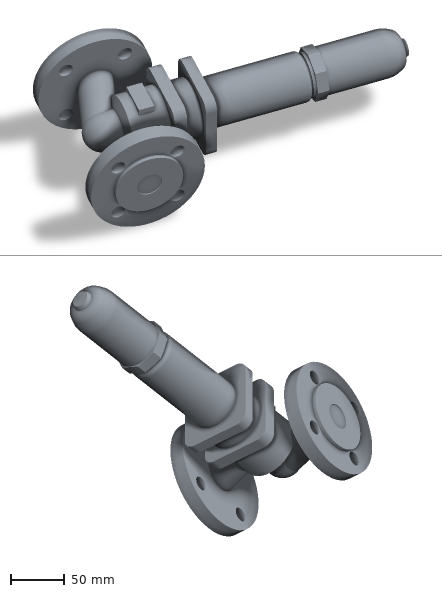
import cadquery as cq
import math


overall_length = 348.0

face_to_face = 160.0
flange_dia = 115.0
flange_thickness = 15.0
raised_face_dia = 68.2
raised_face_height = 4.2
bore_dia = 25.5
bore_depth = 1.0
bolt_circle_dia = 85.0
bolt_hole_dia = 14.3
bolt_count = 4
first_bolt_angle = 45

pipe_dia = 34.8
left_pipe_slope = 16.8
right_pipe_slope = 18.5

elbow_radius = 19.0
elbow_y = -17.0
cone_bottom_y = -2.0
cone_top_y = 3.0
body_radius = 31.0

plate_width = 72.7
plate_corner_radius = 10.8
lower_plate_y = 42.0
lower_plate_thickness = 13.0
upper_plate_y = 74.0
upper_plate_thickness = 11.0
collar_radius = 30.3
collar_chamfer = 2.0

tube_radius = 25.0
tube_top_radius = 21.5
tube_top_y = 187.0
tube_top_rounding_height = 5.0
groove_radius = 20.2
groove_top_y = 188.5
neck_radius = 22.5

nut_sides = 8
nut_corner_dia = 53.5
nut_y = 191.5
nut_thickness = 11.5

cap_top_y = overall_length - flange_dia / 2
cap_radius = 24.0
shoulder_bottom_y = 266.5
shoulder_top_radius = 21.0
shoulder_top_y = 278.3
dome_rounding = 10.5
dome_flat_radius = 12.2
dome_top_y = 286.0
button_base_radius = 10.5
button_top_radius = 8.5

name_plate_length = 32.7
name_plate_width = 15.5
name_plate_y = 22.0
name_plate_top_z = 34.0


def across_bonnet(y):
    """Workplane across the bonnet axis at height y; negative extrusions go towards +Y."""
    return cq.Workplane("XZ", origin=(0, y, 0))


def body_and_bonnet():
    """Everything turned about the Y axis, from the elbow to the button on the cap."""
    return (
        cq.Workplane("XY")
        .moveTo(0, elbow_y - elbow_radius)
        .radiusArc((elbow_radius, elbow_y), -elbow_radius)
        .lineTo(elbow_radius, cone_bottom_y)
        .lineTo(body_radius, cone_top_y)
        .lineTo(body_radius, lower_plate_y)
        .lineTo(collar_radius, lower_plate_y)
        .lineTo(collar_radius, upper_plate_y - collar_chamfer)
        .lineTo(collar_radius - collar_chamfer, upper_plate_y)
        .lineTo(tube_radius, upper_plate_y)
        .lineTo(tube_radius, tube_top_y - tube_top_rounding_height)
        .tangentArcPoint((tube_top_radius, tube_top_y), relative=False)
        .lineTo(groove_radius, tube_top_y)
        .lineTo(groove_radius, groove_top_y)
        .lineTo(neck_radius, groove_top_y)
        .lineTo(neck_radius, nut_y)
        .lineTo(cap_radius, nut_y)
        .lineTo(cap_radius, shoulder_bottom_y)
        .tangentArcPoint((shoulder_top_radius, shoulder_top_y), relative=False)
        .radiusArc((dome_flat_radius, dome_top_y), -dome_rounding)
        .lineTo(button_base_radius, dome_top_y)
        .lineTo(button_top_radius, cap_top_y)
        .lineTo(0, cap_top_y)
        .close()
        .revolve(360, (0, 0, 0), (0, 1, 0))
    )


def clamping_plate(y, thickness):
    return (
        across_bonnet(y)
        .rect(plate_width, plate_width)
        .extrude(-thickness)
        .edges("|Y")
        .fillet(plate_corner_radius)
    )


def octagonal_nut():
    return across_bonnet(nut_y).polygon(nut_sides, nut_corner_dia).extrude(-nut_thickness)


def name_plate():
    return (
        cq.Workplane("XY", origin=(0, name_plate_y, 0))
        .rect(name_plate_length, name_plate_width)
        .extrude(name_plate_top_z)
    )


def flange(side):
    """Bolted flange with raised face; side is -1 for the -X end and +1 for the +X end."""
    face_x = side * face_to_face / 2
    disc_x = face_x - side * raised_face_height
    bolt_holes = (
        cq.Workplane("YZ", origin=(disc_x, 0, 0))
        .polarArray(bolt_circle_dia / 2, first_bolt_angle, 360, bolt_count)
        .circle(bolt_hole_dia / 2)
        .extrude(-side * flange_thickness)
    )
    disc = (
        cq.Workplane("YZ", origin=(disc_x, 0, 0))
        .circle(flange_dia / 2)
        .extrude(-side * flange_thickness)
        .cut(bolt_holes)
    )
    raised_face = (
        cq.Workplane("YZ", origin=(face_x, 0, 0))
        .circle(raised_face_dia / 2)
        .extrude(-side * raised_face_height)
    )
    bore = (
        cq.Workplane("YZ", origin=(face_x, 0, 0))
        .circle(bore_dia / 2)
        .extrude(-side * bore_depth)
    )
    return disc.union(raised_face).cut(bore)


def slanted_pipe(side, slope):
    """Pipe starting on the flow axis at the flange's inner face and ending on the bonnet axis."""
    start_x = side * (face_to_face / 2 - raised_face_height - flange_thickness)
    slope_angle = math.radians(slope)
    lead_in = pipe_dia / 2 * math.tan(slope_angle)
    direction = cq.Vector(-side * math.cos(slope_angle), side * math.sin(slope_angle), 0)
    length = abs(start_x) / math.cos(slope_angle)
    start = cq.Vector(start_x, 0, 0) - direction * lead_in
    pipe = cq.Solid.makeCylinder(pipe_dia / 2, length + lead_in, start, direction)
    return cq.Workplane(pipe)


result = (
    body_and_bonnet()
    .union(clamping_plate(lower_plate_y, lower_plate_thickness))
    .union(clamping_plate(upper_plate_y, upper_plate_thickness))
    .union(octagonal_nut())
    .union(name_plate())
    .union(flange(-1))
    .union(flange(1))
    .union(slanted_pipe(-1, left_pipe_slope))
    .union(slanted_pipe(1, right_pipe_slope))
)